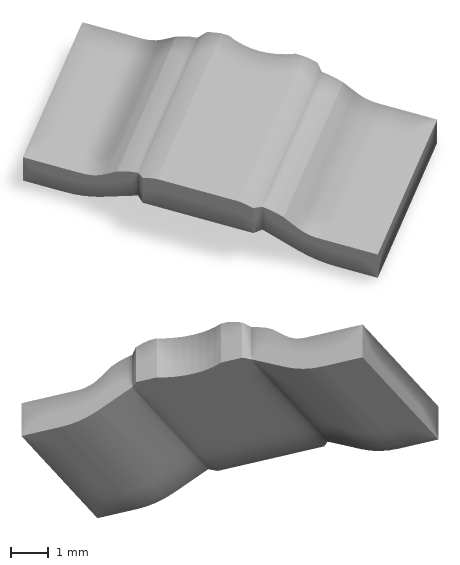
import cadquery as cq
import math

TOTAL_LENGTH = 10.0
TERMINAL_WIDTH = 4.82
TERMINAL_THICKNESS = 1.01
RESISTOR_LENGTH = 3.5
RESISTOR_WIDTH = 5.2
RESISTOR_THICKNESS = 1.2
RESISTOR_BOTTOM_Z = 0.72

BEND_RADIUS = 1.0
SLOPE_ANGLE = math.radians(37.5)
SLOPE_RUN = 0.38

BOW_RUN = 0.6
BOW_RADIUS = 2.0
SHOULDER_DROP = 0.21

RAMP_RUN = 1.51
UNDERSIDE_BEND_RADIUS = 2.5

NOTCH_WIDTH = 1.88
NOTCH_DEPTH = 0.23

END_X = TOTAL_LENGTH / 2
JOINT_X = RESISTOR_LENGTH / 2
RESISTOR_TOP_Z = RESISTOR_BOTTOM_Z + RESISTOR_THICKNESS
SHOULDER_Z = RESISTOR_TOP_Z - SHOULDER_DROP
CORNER_CUT = (RESISTOR_WIDTH - TERMINAL_WIDTH) / 2


def make_terminal(turn):
    """Bent terminal, drawn for the +X end and turned about Z to its own end."""
    slope_top_x = JOINT_X + BOW_RUN
    slope_bottom_x = slope_top_x + SLOPE_RUN
    foot_top_x = slope_bottom_x + BEND_RADIUS * math.sin(SLOPE_ANGLE)
    slope_bottom_z = TERMINAL_THICKNESS + BEND_RADIUS * (1 - math.cos(SLOPE_ANGLE))
    slope_top_z = slope_bottom_z + SLOPE_RUN * math.tan(SLOPE_ANGLE)

    ramp_angle = math.atan2(RESISTOR_BOTTOM_Z, RAMP_RUN)
    ramp_foot_x = JOINT_X + RAMP_RUN
    tangent_length = UNDERSIDE_BEND_RADIUS * math.tan(ramp_angle / 2)
    ramp_start_x = ramp_foot_x - tangent_length * math.cos(ramp_angle)
    ramp_start_z = tangent_length * math.sin(ramp_angle)

    body = (
        cq.Workplane("XZ")
        .moveTo(JOINT_X, RESISTOR_BOTTOM_Z)
        .lineTo(JOINT_X, SHOULDER_Z)
        .radiusArc((slope_top_x, slope_top_z), BOW_RADIUS)
        .lineTo(slope_bottom_x, slope_bottom_z)
        .radiusArc((foot_top_x, TERMINAL_THICKNESS), -BEND_RADIUS)
        .lineTo(END_X, TERMINAL_THICKNESS)
        .lineTo(END_X, 0)
        .lineTo(ramp_foot_x + tangent_length, 0)
        .radiusArc((ramp_start_x, ramp_start_z), UNDERSIDE_BEND_RADIUS)
        .close()
        .extrude(TERMINAL_WIDTH / 2, both=True)
    )
    return body.rotate((0, 0, 0), (0, 0, 1), turn)


def notch_cutter():
    """Cylinder that scoops the shallow notch out of the +Y side."""
    half_width = NOTCH_WIDTH / 2
    radius = (half_width**2 + NOTCH_DEPTH**2) / (2 * NOTCH_DEPTH)
    center_y = RESISTOR_WIDTH / 2 - NOTCH_DEPTH + radius
    return (
        cq.Workplane("XY", origin=(0, center_y, RESISTOR_BOTTOM_Z))
        .circle(radius)
        .extrude(RESISTOR_THICKNESS)
    )


def make_resistor():
    """Raised centre strip with bowed shoulders, cut corners and a notch."""
    flat_x = JOINT_X - BOW_RUN
    strip = (
        cq.Workplane("XZ")
        .moveTo(-JOINT_X, RESISTOR_BOTTOM_Z)
        .lineTo(-JOINT_X, SHOULDER_Z)
        .radiusArc((-flat_x, RESISTOR_TOP_Z), BOW_RADIUS)
        .lineTo(flat_x, RESISTOR_TOP_Z)
        .radiusArc((JOINT_X, SHOULDER_Z), BOW_RADIUS)
        .lineTo(JOINT_X, RESISTOR_BOTTOM_Z)
        .close()
        .extrude(RESISTOR_WIDTH / 2, both=True)
    )
    strip = strip.edges("|Z").chamfer(CORNER_CUT)
    return strip.cut(notch_cutter())


resistor = make_resistor()
terminals = [make_terminal(turn) for turn in (0, 180)]

result = cq.Compound.makeCompound(
    [resistor.val(), *[terminal.val() for terminal in terminals]]
)